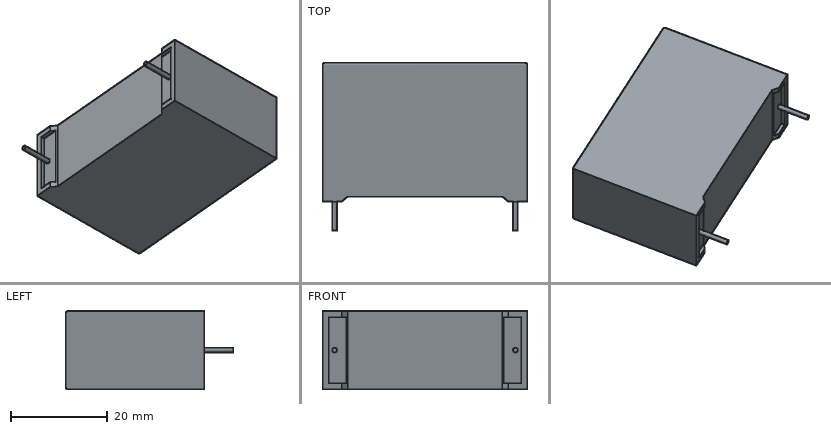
import cadquery as cq

case_length = 42.5
case_height = 28.8
case_thickness = 16.25
back_edge_radius = 0.5

foot_length = 4.0
foot_height = 1.0
slope_length = 1.2

pocket_wall = 1.3
pocket_length = 3.6
pocket_depth = 0.8

lead_diameter = 1.0
lead_pitch = 37.5
lead_projection = 6.0

case_half = case_length / 2
foot_edge = case_half - foot_length
recess_edge = foot_edge - slope_length
pocket_thickness = case_thickness - 2 * pocket_wall
pocket_center = case_half - pocket_wall - pocket_length / 2


def make_block():
    """Case outline with two feet, extruded through the thickness; foot faces lie on Y = 0."""
    outline = [
        (-case_half, case_height),
        (-case_half, 0),
        (-foot_edge, 0),
        (-recess_edge, foot_height),
        (recess_edge, foot_height),
        (foot_edge, 0),
        (case_half, 0),
        (case_half, case_height),
    ]
    block = cq.Workplane("XY").polyline(outline).close().extrude(case_thickness / 2, both=True)
    return block.faces(">Y").edges().fillet(back_edge_radius)


def make_pocket(side):
    """Rectangular volume removed from the foot on the given side (-1 or 1)."""
    return cq.Workplane("XY").box(
        pocket_length, pocket_depth, pocket_thickness, centered=(True, False, True)
    ).translate((side * pocket_center, 0, 0))


def make_case():
    case = make_block()
    for side in (-1, 1):
        case = case.cut(make_pocket(side))
    return case


def make_lead(side):
    """Round wire standing on the pocket floor and pointing along -Y."""
    lead_length = pocket_depth + lead_projection
    lead = cq.Workplane("XZ").circle(lead_diameter / 2).extrude(lead_length)
    return lead.translate((side * lead_pitch / 2, pocket_depth, 0))


case = make_case()
leads = [make_lead(side) for side in (-1, 1)]

result = cq.Compound.makeCompound([case.val(), *[lead.val() for lead in leads]])